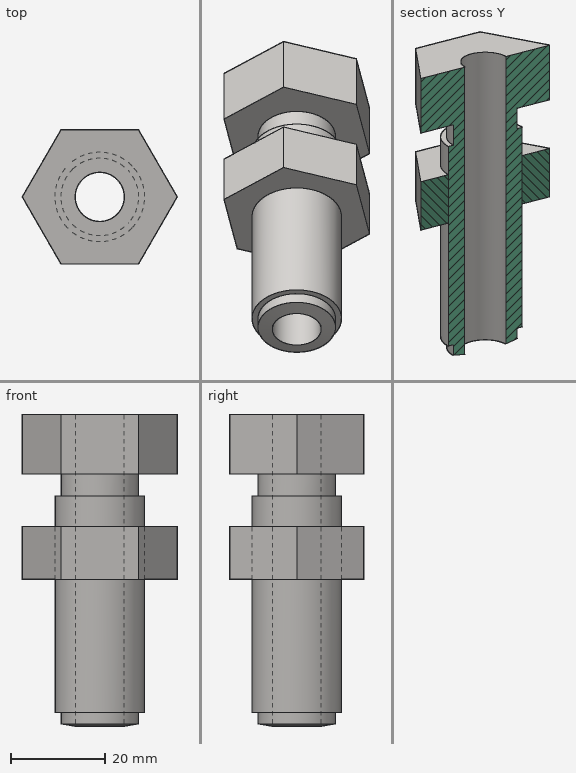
import cadquery as cq
import math

hex_across_flats = 28.575
hex_across_corners = hex_across_flats / math.cos(math.pi / 6)

shank_diameter = 19.05
neck_diameter = 16.5
bore_diameter = 10.4

total_length = 66.32
head_height = 12.7
undercut_length = 4.6
end_neck_length = 2.4
tip_slope = math.radians(10)
tip_height = (neck_diameter - bore_diameter) / 2 * math.tan(tip_slope)

nut_height = 11.25
shank_above_nut = 6.5

shank_bottom = tip_height + end_neck_length
head_bottom = total_length - head_height
shank_top = head_bottom - undercut_length
nut_bottom = shank_top - shank_above_nut - nut_height


def hex_prism(bottom, height):
    return cq.Workplane("XY").workplane(offset=bottom).polygon(6, hex_across_corners).extrude(height)


def cylinder(diameter, bottom, height):
    return cq.Workplane("XY").workplane(offset=bottom).circle(diameter / 2).extrude(height)


def make_bolt():
    """Hex-headed bolt, bored through, with a neck at each end of the shank and a shallow conical tip."""
    stem = (
        cq.Workplane("XZ")
        .moveTo(bore_diameter / 2, 0)
        .lineTo(neck_diameter / 2, tip_height)
        .lineTo(neck_diameter / 2, shank_bottom)
        .lineTo(shank_diameter / 2, shank_bottom)
        .lineTo(shank_diameter / 2, shank_top)
        .lineTo(neck_diameter / 2, shank_top)
        .lineTo(neck_diameter / 2, head_bottom)
        .lineTo(bore_diameter / 2, head_bottom)
        .close()
        .revolve(360, (0, 0, 0), (0, 1, 0))
    )
    head = hex_prism(head_bottom, head_height).cut(cylinder(bore_diameter, head_bottom, head_height))
    return stem.union(head)


def make_nut():
    """Plain hex nut that fits closely around the shank."""
    return hex_prism(nut_bottom, nut_height).cut(cylinder(shank_diameter, nut_bottom, nut_height))


bolt = make_bolt()
nut = make_nut()

result = cq.Compound.makeCompound([bolt.val(), nut.val()])